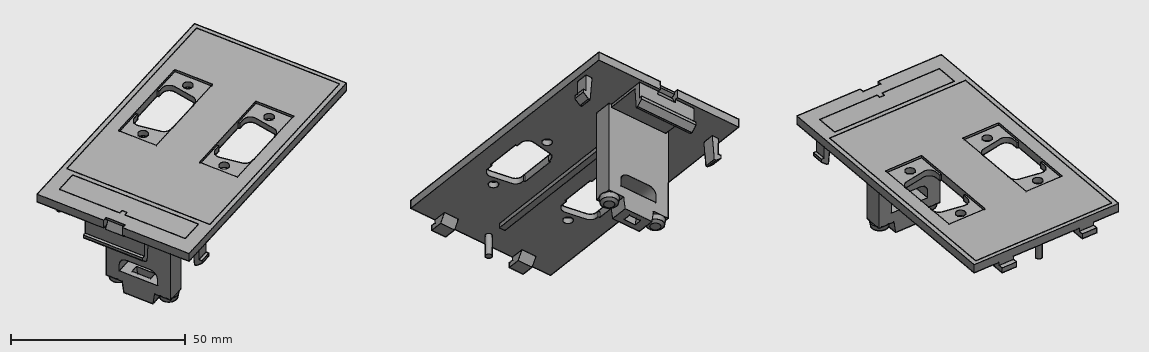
import cadquery as cq
import math


plate_width = 50.7
plate_length = 87.5
plate_thickness = 2.9
total_length = 89.0
total_height = 38.4

marking_depth = 0.1
panel_margin = 1.5
panel_back = 86.15
panel_front = 14.1
label_width = 42.0
label_front = 5.2
label_back = 12.55
label_tab_width = 1.7
label_tab_length = 1.25

connector_offset = 13.5
connector_y = 51.7
recess_width = 12.6
recess_length = 31.3
recess_depth = 0.9
screw_hole_spacing = 24.9
screw_hole_diameter = 3.0
opening_width = 11.5
opening_half_length = 10.5
opening_taper = math.radians(10)
opening_corner_radius = 2.4
clearance_length = 11.7

notch_width = 6.2
lip_y = 1.4
lip_depth = 0.8
undercut_y = 2.6
undercut_z = 1.4
notch_bottom = 4.1

clip_leg = 2.2
clip_taper = 0.7
clip_tip_width = 0.6
hook_reach = 1.0
hook_top = 8.5
hook_tip = 9.6
clip_bottom = 11.2
front_clip_width = 19.8
front_clip_inset = 1.0
side_clip_width = 3.9
side_clip_y = 9.7
side_clip_inset = 1.3
clip_foot_bottom = 4.0

bracket_width = 21.5
bracket_front = 14.1
bracket_depth = 5.9
bracket_y = bracket_front + bracket_depth / 2
shoulder_z = 34.35
tongue_top_width = 10.9
tongue_bottom_width = 9.7
tongue_taper = (tongue_top_width - tongue_bottom_width) / 2 / (total_height - shoulder_z)
window_width = 12.7
window_top = 25.8
window_bottom = 30.8
window_corner_radius = 2.7
slot_width = 6.2
slot_depth = 2.5

screw_offset = 8.4
screw_top_radius = bracket_depth / 2
screw_rim_radius = 2.7
screw_end_radius = 1.6
screw_rim_z = 36.05
screw_end_z = 36.7

rear_hook_offset = 14.1
rear_hook_width = 5.1
rear_hook_top = 4.0
rear_hook_bottom = 5.8
rear_hook_root = 83.0
rear_hook_end = 84.8
post_diameter = 2.05
post_y = 83.75
post_bottom = 10.4
rib_width = 2.05
rib_back = 77.5
rib_bottom = 4.45


def block(x_size, y_range, z_range, x=0.0):
    """Box centred on x, spanning the given Y range and depths below the top face."""
    y_start, y_end = y_range
    z_start, z_end = z_range
    return (
        cq.Workplane("XY", origin=(x, (y_start + y_end) / 2, -z_end))
        .rect(x_size, y_end - y_start)
        .extrude(z_end - z_start)
    )


def side_profile(points, width, x=0.0):
    """Extrude a (Y, depth) outline by width along X, centred on x."""
    return (
        cq.Workplane("YZ", origin=(x, 0, 0))
        .polyline([(y, -depth) for y, depth in points])
        .close()
        .extrude(width / 2, both=True)
    )


def clip(inset, width):
    """Hooked leg below a front edge on Y = 0, with the hook pointing towards -Y."""
    inner = inset + clip_leg
    tip_inner = inner - clip_taper
    outline = [
        (inset, plate_thickness),
        (inset, hook_top),
        (inset - hook_reach, hook_top),
        (inset - hook_reach, hook_tip),
        (tip_inner - clip_tip_width, clip_bottom),
        (tip_inner, clip_bottom),
        (inner, plate_thickness),
    ]
    return side_profile(outline, width)


def connector_cutout(x):
    """Recess, D-shaped opening with side clearance, and two screw holes."""
    recess = block(
        recess_width,
        (connector_y - recess_length / 2, connector_y + recess_length / 2),
        (0, recess_depth),
        x,
    )
    half_width = opening_width / 2
    short_half = opening_half_length - opening_width * math.tan(opening_taper)
    base = cq.Workplane("XY", origin=(x, connector_y, -plate_thickness))
    opening = (
        base.polyline(
            [
                (-half_width, -opening_half_length),
                (half_width, -short_half),
                (half_width, short_half),
                (-half_width, opening_half_length),
            ]
        )
        .close()
        .extrude(plate_thickness)
        .edges("|Z")
        .fillet(opening_corner_radius)
    )
    clearance = base.rect(recess_width, clearance_length).extrude(plate_thickness)
    screw_holes = (
        base.pushPoints([(0, -screw_hole_spacing / 2), (0, screw_hole_spacing / 2)])
        .circle(screw_hole_diameter / 2)
        .extrude(plate_thickness)
    )
    return recess.union(opening).union(clearance).union(screw_holes)


def make_plate():
    plate = block(plate_width, (0, plate_length), (0, plate_thickness))
    panel = block(
        plate_width - 2 * panel_margin,
        (panel_front, panel_back),
        (0, marking_depth),
    )
    label = block(label_width, (label_front, label_back), (0, marking_depth))
    label_tab = block(label_tab_width, (label_front, label_front + label_tab_length), (0, marking_depth))
    plate = plate.cut(panel).cut(label.cut(label_tab))
    for x in (-connector_offset, connector_offset):
        plate = plate.cut(connector_cutout(x))
    return plate


def make_notch():
    outline = [
        (0, 0),
        (lip_y, 0),
        (lip_y, lip_depth),
        (undercut_y, undercut_z),
        (front_clip_inset, notch_bottom),
        (0, notch_bottom),
    ]
    return side_profile(outline, notch_width)


def make_clips():
    front_clip = clip(front_clip_inset, front_clip_width)
    foot = block(
        front_clip_width, (front_clip_inset + clip_leg / 2, bracket_y), (plate_thickness, clip_foot_bottom)
    )
    clips = front_clip.union(foot)
    side_clip = clip(side_clip_inset, side_clip_width)
    left_clip = side_clip.rotate((0, 0, 0), (0, 0, 1), -90).translate((-plate_width / 2, side_clip_y, 0))
    return clips.union(left_clip).union(left_clip.mirror("YZ"))


def make_bracket():
    half_width = bracket_width / 2
    bracket = (
        cq.Workplane("XZ", origin=(0, bracket_front, 0))
        .polyline(
            [
                (-half_width, -plate_thickness),
                (-half_width, -shoulder_z),
                (-tongue_top_width / 2, -shoulder_z),
                (-tongue_bottom_width / 2, -total_height),
                (tongue_bottom_width / 2, -total_height),
                (tongue_top_width / 2, -shoulder_z),
                (half_width, -shoulder_z),
                (half_width, -plate_thickness),
            ]
        )
        .close()
        .extrude(-bracket_depth)
    )
    window = (
        block(window_width, (bracket_front, bracket_front + bracket_depth), (window_top, window_bottom))
        .edges("|Y and >Z")
        .fillet(window_corner_radius)
    )
    slot_narrowing = (total_height - window_bottom) * tongue_taper
    slot = (
        cq.Workplane("XZ", origin=(0, bracket_y, 0))
        .polyline(
            [
                (-slot_width / 2, -window_bottom),
                (slot_width / 2, -window_bottom),
                (slot_width / 2 - slot_narrowing, -total_height),
                (slot_narrowing - slot_width / 2, -total_height),
            ]
        )
        .close()
        .extrude(slot_depth / 2, both=True)
    )
    bracket = bracket.cut(window).cut(slot)
    for x in (-screw_offset, screw_offset):
        bracket = bracket.union(screw_head(x))
    return bracket


def screw_head(x):
    """Tapered round head with a conical end, revolved about its vertical axis."""
    return (
        cq.Workplane("YZ", origin=(x, bracket_y, 0))
        .polyline(
            [
                (0, -shoulder_z),
                (-screw_top_radius, -shoulder_z),
                (-screw_rim_radius, -screw_rim_z),
                (-screw_end_radius, -screw_end_z),
                (0, -screw_end_z),
            ]
        )
        .close()
        .revolve(360, (0, 0), (0, 1))
    )


def rear_hook(x):
    outline = [
        (rear_hook_root, plate_thickness),
        (rear_hook_end, rear_hook_bottom),
        (total_length, rear_hook_bottom),
        (total_length, rear_hook_top),
        (plate_length, rear_hook_top),
        (plate_length, plate_thickness),
    ]
    return side_profile(outline, rear_hook_width, x)


def make_rear_supports():
    supports = block(
        rib_width, (bracket_front + bracket_depth, rib_back), (plate_thickness, rib_bottom)
    )
    post = (
        cq.Workplane("XY", origin=(0, post_y, -post_bottom))
        .circle(post_diameter / 2)
        .extrude(post_bottom - plate_thickness)
    )
    supports = supports.union(post)
    for x in (-rear_hook_offset, rear_hook_offset):
        supports = supports.union(rear_hook(x))
    return supports


result = (
    make_plate()
    .union(make_clips())
    .union(make_bracket())
    .union(make_rear_supports())
    .cut(make_notch())
)